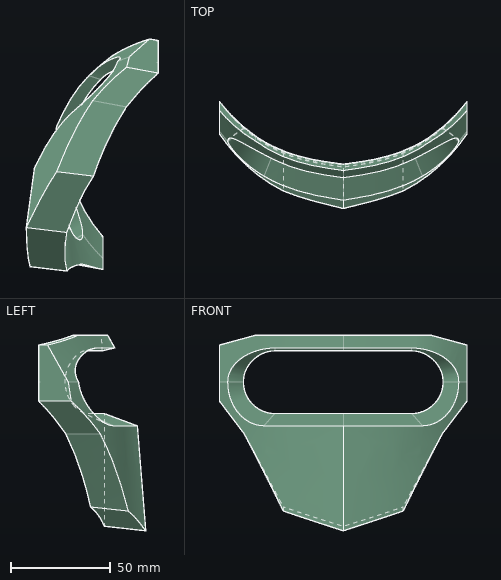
import cadquery as cq

half_width = 62.4
top_z = 98.6
depth = 54.0

brow_z = 74.9
back_top_reach = 31.6
back_reach = 33.1
front_top_reach = 34.8
front_brow_reach = 48.0
front_slope = (depth - front_brow_reach) / brow_z

ridge_slope = 0.14
chin_ridge_slope = 0.22
chin_edge_setback = 27.7
sweep_back = (back_reach - ridge_slope * half_width) / half_width**3
chin_sweep_back = (chin_edge_setback - chin_ridge_slope * half_width) / half_width**3
curve_steps = 10

brow_corner_x = 44.2
temple_top_z = 93.6
temple_bottom_z = 65.4
cheek_x = 49.9
cheek_z = 48.9
chin_x = 30.2
chin_z = 10.0
chin_tilt = 0.11
outline_front_y = -62.4
outline_back_y = 6.2

slot_end_x = 50.2
slot_bottom_z = 59.2
slot_top_z = 90.6
slot_middle_z = (slot_bottom_z + slot_top_z) / 2
slot_flat_x = slot_end_x - (slot_top_z - slot_middle_z)
rim_end_x = 58.2
rim_bottom_z = 52.9
rim_top_z = 92.1
slot_overrun = 0.4

margin = 2.5


def back_reach_at(z):
    rise = max(0, z - brow_z) / (top_z - brow_z)
    return back_reach + rise * (back_top_reach - back_reach)


def front_reach_at(z):
    if z < brow_z:
        return front_brow_reach + front_slope * (brow_z - z)
    rise = (z - brow_z) / (top_z - brow_z)
    return front_brow_reach + rise * (front_top_reach - front_brow_reach)


def back_y(x, z):
    """Back face, scaled so that its outer edge stays vertical at y = 0."""
    setback = ridge_slope * x + sweep_back * x**3
    return back_reach_at(z) * (setback / back_reach - 1)


def front_y(x, z):
    """Front face, whose ridge grows sharper and whose sides grow flatter below the brow."""
    fall = max(0, brow_z - z) / brow_z
    slope = ridge_slope + fall * (chin_ridge_slope - ridge_slope)
    sweep = sweep_back + fall * (chin_sweep_back - sweep_back)
    return slope * x + sweep * x**3 - front_reach_at(z)


def shell_section(z):
    """Horizontal section of the right half of the shell."""
    xs = [half_width * i / curve_steps for i in range(curve_steps + 1)]
    back = [cq.Vector(x, back_y(x, z), z) for x in xs]
    front = [cq.Vector(x, front_y(x, z), z) for x in xs]
    return cq.Wire.assembleEdges([
        cq.Edge.makeSpline(back),
        cq.Edge.makeLine(back[-1], front[-1]),
        cq.Edge.makeSpline(front[::-1]),
        cq.Edge.makeLine(front[0], back[0]),
    ])


def shell_half():
    base, brow, top = [shell_section(z) for z in (-margin, brow_z, top_z)]
    lower = cq.Solid.makeLoft([base, brow], True)
    upper = cq.Solid.makeLoft([brow, top], True)
    return cq.Workplane(lower).union(cq.Workplane(upper))


def outline_wire(y):
    """Front outline of the right half; the chin edges drop toward the front."""
    drop = chin_tilt * (y + depth)
    chin_drop = chin_tilt * (y - front_y(chin_x, chin_z))
    outline = [
        (0, drop),
        (chin_x, chin_z + chin_drop),
        (cheek_x, cheek_z),
        (half_width, temple_bottom_z),
        (half_width, temple_top_z),
        (brow_corner_x, top_z),
        (0, top_z),
    ]
    return cq.Wire.makePolygon([cq.Vector(x, y, z) for x, z in outline], close=True)


def slot_ruling(x, z):
    """Ends of the flared wall line through (x, z) on the back face, run past both faces."""
    half_height = slot_top_z - slot_middle_z
    if z < slot_middle_z:
        rim_height = slot_middle_z - rim_bottom_z
        rim_x = x * rim_end_x / slot_end_x
    else:
        rim_height = rim_top_z - slot_middle_z
        end_flare = (rim_end_x - slot_flat_x) / (slot_end_x - slot_flat_x)
        rim_x = x + max(0, x - slot_flat_x) * (end_flare - 1)
    rim_z = slot_middle_z + (z - slot_middle_z) * rim_height / half_height
    inner = cq.Vector(x, back_y(x, z), z)
    outer = cq.Vector(rim_x, front_y(rim_x, rim_z), rim_z)
    overrun = (outer - inner) * slot_overrun
    return inner - overrun, outer + overrun


def slot_wall(path):
    """Ruled wall following a stretch of the slot edge."""
    points = [path.positionAt(i / curve_steps) for i in range(curve_steps + 1)]
    rulings = [slot_ruling(p.x, p.z) for p in points]
    inner = cq.Edge.makeSpline([r[0] for r in rulings])
    outer = cq.Edge.makeSpline([r[1] for r in rulings])
    return cq.Face.makeRuledSurface(inner, outer)


def slot_walls():
    """Walls of the right half of the slot, from the bottom centre round to the top centre."""
    end_radius = slot_top_z - slot_middle_z
    diagonal = end_radius / 2**0.5
    low = cq.Vector(slot_flat_x, 0, slot_bottom_z)
    high = cq.Vector(slot_flat_x, 0, slot_top_z)
    end = cq.Vector(slot_end_x, 0, slot_middle_z)
    low_mid = cq.Vector(slot_flat_x + diagonal, 0, slot_middle_z - diagonal)
    high_mid = cq.Vector(slot_flat_x + diagonal, 0, slot_middle_z + diagonal)
    paths = [
        cq.Edge.makeLine(cq.Vector(-margin, 0, slot_bottom_z), low),
        cq.Edge.makeThreePointArc(low, low_mid, end),
        cq.Edge.makeThreePointArc(end, high_mid, high),
        cq.Edge.makeLine(high, cq.Vector(-margin, 0, slot_top_z)),
    ]
    return [slot_wall(path) for path in paths]


outline = cq.Solid.makeLoft([outline_wire(outline_back_y), outline_wire(outline_front_y)], True)
blank = shell_half().intersect(cq.Workplane(outline))
pieces = blank.val().split(*slot_walls()).Solids()
half = cq.Workplane(max(pieces, key=lambda piece: piece.Volume()))

result = half.union(half.mirror("YZ"))